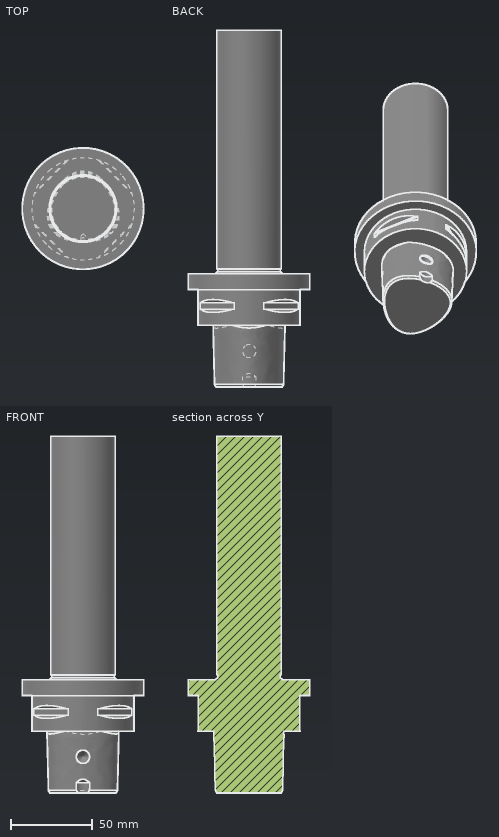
import cadquery as cq
import math

total_length = 220.0
coupling_length = 38.0
grip_flange_height = 22.0
grip_flange_diameter = 63.0
collar_height = 10.0
collar_diameter = 75.0
shank_diameter = 40.0

collar_bottom = grip_flange_height
collar_top = collar_bottom + collar_height
shank_top = total_length - coupling_length

undercut_height = 3.0
undercut_neck_radius = 19.4
undercut_flare_radius = 20.8
undercut_flare_height = 1.2
undercut_run_in = 0.5

polygon_mean_radius = 22.0
polygon_eccentricity = 1.41
polygon_taper = 1 / 40
straight_height = 3.3
end_chamfer_height = 1.8
end_chamfer_inset = 1.0
polygon_points = 48

lobe_relief_radius = 22.0
lobe_relief_height = 1.8
lobe_relief_width = 1.6

groove_count = 4
groove_first_angle = 45.0
groove_floor_distance = 27.75
groove_wall_depth = 0.5
groove_floor_height = 4.0
groove_mouth_height = 8.0
groove_center_z = 12.0

dimple_diameter = 8.2
dimple_wall_depth = 0.8
dimple_tip_height = dimple_diameter / 2
dimple_z = -15.6
notch_diameter = 11.0
notch_depth = 6.5
notch_axis_y = -23.3
notch_tip_angle = 90.0


def body_of_revolution():
    """Grip flange, collar, undercut and plain shank as one turned profile."""
    shank_radius = shank_diameter / 2
    undercut_top = collar_top + undercut_height
    return (
        cq.Workplane("XZ")
        .moveTo(0, 0)
        .lineTo(grip_flange_diameter / 2, 0)
        .lineTo(grip_flange_diameter / 2, collar_bottom)
        .lineTo(collar_diameter / 2, collar_bottom)
        .lineTo(collar_diameter / 2, collar_top)
        .lineTo(undercut_flare_radius, collar_top)
        .lineTo(undercut_neck_radius, collar_top + undercut_flare_height)
        .lineTo(undercut_neck_radius, undercut_top - undercut_run_in)
        .lineTo(shank_radius, undercut_top)
        .lineTo(shank_radius, shank_top)
        .lineTo(0, shank_top)
        .close()
        .revolve(360, (0, 0, 0), (0, 1, 0))
    )


def polygon_wire(mean_radius, z):
    """Three-lobed hypotrochoid at height z, starting on the -Y flat."""
    points = []
    for i in range(polygon_points):
        t = math.pi + 2 * math.pi * i / polygon_points
        along_lobe = mean_radius * math.cos(t) + polygon_eccentricity * math.cos(2 * t)
        across_lobe = mean_radius * math.sin(t) - polygon_eccentricity * math.sin(2 * t)
        points.append(cq.Vector(-across_lobe, along_lobe, z))
    return cq.Wire.assembleEdges([cq.Edge.makeSpline(points, periodic=True)])


def polygon_section(top_radius, top_z, bottom_radius, bottom_z):
    wires = [polygon_wire(top_radius, top_z), polygon_wire(bottom_radius, bottom_z)]
    return cq.Workplane(cq.Solid.makeLoft(wires, True))


def coupling():
    """Straight neck, tapered polygon and chamfered end."""
    taper_top = -straight_height
    taper_bottom = end_chamfer_height - coupling_length
    taper_bottom_radius = polygon_mean_radius - polygon_taper * (taper_top - taper_bottom)
    end_radius = taper_bottom_radius - end_chamfer_inset

    neck = polygon_section(polygon_mean_radius, 0, polygon_mean_radius, taper_top).cut(lobe_relief())
    taper = polygon_section(polygon_mean_radius, taper_top, taper_bottom_radius, taper_bottom)
    chamfer = polygon_section(taper_bottom_radius, taper_bottom, end_radius, -coupling_length)
    return neck.union(taper).union(chamfer)


def lobe_relief():
    """Triangular ring whose inner face is a cone widening downwards."""
    return (
        cq.Workplane("XZ")
        .moveTo(lobe_relief_radius, 0)
        .lineTo(lobe_relief_radius + lobe_relief_width, 0)
        .lineTo(lobe_relief_radius + lobe_relief_width, -lobe_relief_height)
        .close()
        .revolve(360, (0, 0, 0), (0, 1, 0))
    )


def gripper_groove(angle):
    """Bar along a chord of the grip flange: short square walls, then flared sides."""
    flange_radius = grip_flange_diameter / 2
    floor_bottom_z = groove_center_z - groove_floor_height / 2
    floor_top_z = groove_center_z + groove_floor_height / 2
    flare_distance = groove_floor_distance + groove_wall_depth
    return (
        cq.Workplane("XZ")
        .moveTo(groove_floor_distance, floor_bottom_z)
        .lineTo(flare_distance, floor_bottom_z)
        .lineTo(flange_radius, groove_center_z - groove_mouth_height / 2)
        .lineTo(flange_radius, groove_center_z + groove_mouth_height / 2)
        .lineTo(flare_distance, floor_top_z)
        .lineTo(groove_floor_distance, floor_top_z)
        .close()
        .extrude(flange_radius, both=True)
        .rotate((0, 0, 0), (0, 0, 1), angle)
    )


def dimple():
    """Shallow drilled hole with a conical floor, square to the -Y flat."""
    radius = dimple_diameter / 2
    surface_y = polygon_eccentricity - polygon_mean_radius - polygon_taper * (dimple_z + straight_height)
    floor_y = surface_y + dimple_wall_depth
    return (
        cq.Workplane("XY")
        .moveTo(0, -collar_diameter / 2)
        .lineTo(radius, -collar_diameter / 2)
        .lineTo(radius, floor_y)
        .lineTo(0, floor_y + dimple_tip_height)
        .close()
        .revolve(360, (0, 0, 0), (0, 1, 0))
        .translate((0, 0, dimple_z))
    )


def end_notch():
    """Shallow round-bottomed groove with a conical end, open to the -Y flat and the end face."""
    radius = notch_diameter / 2
    tip_height = radius / math.tan(math.radians(notch_tip_angle / 2))
    return (
        cq.Workplane("XZ")
        .lineTo(radius, 0)
        .lineTo(radius, notch_depth)
        .lineTo(0, notch_depth + tip_height)
        .close()
        .revolve(360, (0, 0, 0), (0, 1, 0))
        .translate((0, notch_axis_y, -coupling_length))
    )


result = body_of_revolution().union(coupling())
for index in range(groove_count):
    groove_angle = groove_first_angle + index * 360 / groove_count
    result = result.cut(gripper_groove(groove_angle))
result = result.cut(dimple()).cut(end_notch())